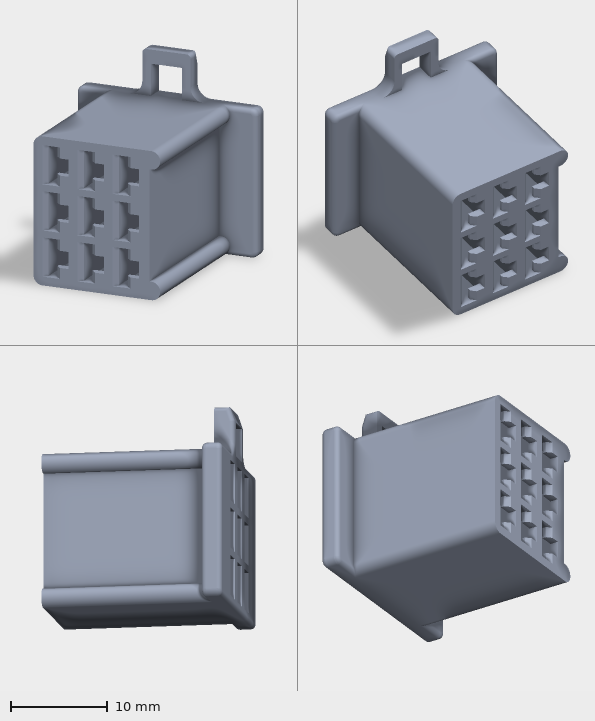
import cadquery as cq
import math

TOTAL_LENGTH = 19.46
BODY_HEIGHT = 16.15
BODY_RADIUS = 1.0
BODY_HALF_WIDTH = 7.2
RIGHT_WALL_X = 6.0
TOP_Z = BODY_HEIGHT / 2

FLANGE_WIDTH = 20.5
FLANGE_THICKNESS = 2.1
FLANGE_CORNER_RADIUS = 0.7
EDGE_RADIUS = 0.5
FLANGE_FRONT_Y = TOTAL_LENGTH - FLANGE_THICKNESS

LOOP_WIDTH = 5.5
LOOP_HEIGHT = 5.03
LOOP_CORNER_RADIUS = 0.45
LOOP_ROOT_RADIUS = 1.5
LOOP_BASE_HALF_WIDTH = RIGHT_WALL_X
LOOP_WINDOW_WIDTH = 3.56
LOOP_WINDOW_HEIGHT = 3.5
LOOP_BEVEL_DEPTH = 0.5
LOOP_BEVEL_HEIGHT = 1.45
LOOP_TOP_Z = TOP_Z + LOOP_HEIGHT

COLUMNS = 3
ROWS = 3
COLUMN_PITCH = 4.0
ROW_PITCH = 5.0
FIRST_CAVITY_X = -6.2
CAVITY_HEIGHT = 4.25
MOUTH_WIDTH = 2.0
LEAD_IN = 0.5
KEYWAY_REACH = 3.0
KEYWAY_HEIGHT = 1.85
FRONT_WALL = 0.9


def make_body():
    """Body profile with rounded left corners and a half-round bead at each right corner."""
    arc_offset = BODY_RADIUS * math.sqrt(0.5)
    center_x = BODY_HALF_WIDTH - BODY_RADIUS
    center_z = TOP_Z - BODY_RADIUS
    bead_inner_z = TOP_Z - 2 * BODY_RADIUS
    length = TOTAL_LENGTH - EDGE_RADIUS
    return (
        cq.Workplane("XZ")
        .moveTo(-center_x, TOP_Z)
        .lineTo(center_x, TOP_Z)
        .threePointArc((BODY_HALF_WIDTH, center_z), (center_x, bead_inner_z))
        .lineTo(RIGHT_WALL_X, bead_inner_z)
        .lineTo(RIGHT_WALL_X, -bead_inner_z)
        .lineTo(center_x, -bead_inner_z)
        .threePointArc((BODY_HALF_WIDTH, -center_z), (center_x, -TOP_Z))
        .lineTo(-center_x, -TOP_Z)
        .threePointArc((-center_x - arc_offset, -center_z - arc_offset), (-BODY_HALF_WIDTH, -center_z))
        .lineTo(-BODY_HALF_WIDTH, center_z)
        .threePointArc((-center_x - arc_offset, center_z + arc_offset), (-center_x, TOP_Z))
        .close()
        .extrude(-length)
    )


def rear_box(width, bottom_z, top_z):
    """Block of flange thickness at the rear end, centered on X."""
    return (
        cq.Workplane("XY")
        .box(width, FLANGE_THICKNESS, top_z - bottom_z, centered=(True, False, False))
        .translate((0, FLANGE_FRONT_Y, bottom_z))
    )


def make_flange():
    """Rear plate with rounded corners and rounded front and rear edges."""
    plate = rear_box(FLANGE_WIDTH, -TOP_Z, TOP_Z).edges("|Y").fillet(FLANGE_CORNER_RADIUS)
    return plate.faces("<Y or >Y").edges().fillet(EDGE_RADIUS)


def make_loop():
    """Latch tab with flared roots, on a base that is buried in the flange and the body."""
    half_width = LOOP_WIDTH / 2
    root_x = half_width + LOOP_ROOT_RADIUS
    root_z = TOP_Z + LOOP_ROOT_RADIUS
    flare_offset = LOOP_ROOT_RADIUS * (1 - math.sqrt(0.5))
    flare_x = half_width + flare_offset
    flare_z = TOP_Z + flare_offset
    tab = (
        cq.Workplane("XZ", origin=(0, FLANGE_FRONT_Y, 0))
        .moveTo(-LOOP_BASE_HALF_WIDTH, 0)
        .lineTo(-LOOP_BASE_HALF_WIDTH, TOP_Z)
        .lineTo(-root_x, TOP_Z)
        .threePointArc((-flare_x, flare_z), (-half_width, root_z))
        .lineTo(-half_width, LOOP_TOP_Z)
        .lineTo(half_width, LOOP_TOP_Z)
        .lineTo(half_width, root_z)
        .threePointArc((flare_x, flare_z), (root_x, TOP_Z))
        .lineTo(LOOP_BASE_HALF_WIDTH, TOP_Z)
        .lineTo(LOOP_BASE_HALF_WIDTH, 0)
        .close()
        .extrude(-FLANGE_THICKNESS)
    )
    bevel = (
        cq.Workplane("YZ")
        .moveTo(TOTAL_LENGTH, LOOP_TOP_Z)
        .lineTo(TOTAL_LENGTH - LOOP_BEVEL_DEPTH, LOOP_TOP_Z)
        .lineTo(TOTAL_LENGTH, LOOP_TOP_Z - LOOP_BEVEL_HEIGHT)
        .close()
        .extrude(half_width, both=True)
    )
    tab = tab.cut(bevel)

    rear_region = cq.selectors.BoxSelector(
        (-root_x, TOTAL_LENGTH - LOOP_BEVEL_DEPTH, root_z),
        (root_x, TOTAL_LENGTH + LOOP_BEVEL_DEPTH, LOOP_TOP_Z),
    )
    tab = tab.edges(rear_region).edges("not |X").fillet(EDGE_RADIUS)

    rounded_block = rear_box(LOOP_WIDTH, 0, LOOP_TOP_Z).edges("|Y and >Z").fillet(LOOP_CORNER_RADIUS)
    corner_waste = rear_box(LOOP_WIDTH, root_z, LOOP_TOP_Z).cut(rounded_block)
    return tab.cut(corner_waste)


def make_loop_window():
    """Rectangular opening through the latch loop, its floor flush with the body top."""
    return rear_box(LOOP_WINDOW_WIDTH, TOP_Z, TOP_Z + LOOP_WINDOW_HEIGHT)


def make_cavity():
    """One contact cavity, its mouth's left edge at X = 0 and its center at Z = 0."""
    neck_right = MOUTH_WIDTH - LEAD_IN
    chamber_width = KEYWAY_REACH - LEAD_IN
    mouth = (
        cq.Workplane("XY")
        .polyline([
            (0, 0),
            (MOUTH_WIDTH, 0),
            (neck_right, LEAD_IN),
            (neck_right, FRONT_WALL),
            (LEAD_IN, FRONT_WALL),
            (LEAD_IN, LEAD_IN),
        ])
        .close()
        .extrude(CAVITY_HEIGHT / 2, both=True)
    )
    keyway = (
        cq.Workplane("XY")
        .box(chamber_width, FRONT_WALL, KEYWAY_HEIGHT, centered=(False, False, True))
        .translate((LEAD_IN, 0, 0))
    )
    chamber = (
        cq.Workplane("XY")
        .box(chamber_width, TOTAL_LENGTH - FRONT_WALL, CAVITY_HEIGHT, centered=(False, False, True))
        .translate((LEAD_IN, FRONT_WALL, 0))
    )
    return mouth.union(keyway).union(chamber)


result = make_flange().union(make_loop()).union(make_body()).cut(make_loop_window())

cavity = make_cavity()
for column in range(COLUMNS):
    for row in range(ROWS):
        x = FIRST_CAVITY_X + column * COLUMN_PITCH
        z = (row - (ROWS - 1) / 2) * ROW_PITCH
        result = result.cut(cavity.translate((x, 0, z)))